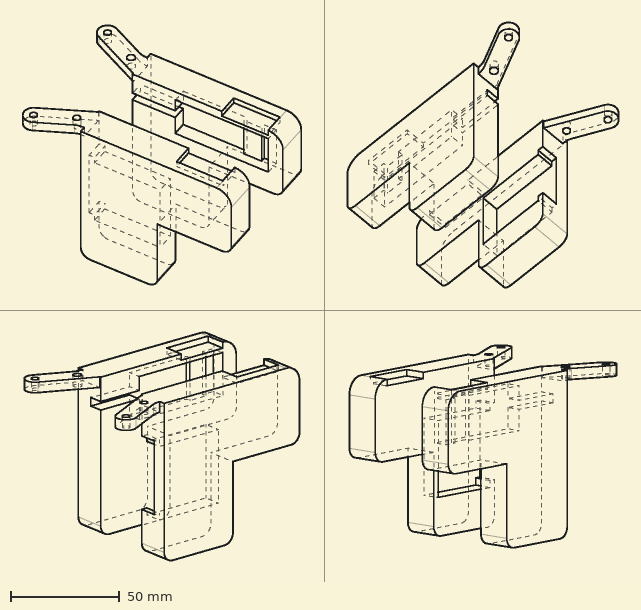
import cadquery as cq
import math

LENGTH = 110.3
HEIGHT = 78.0
TOTAL_WIDTH = 75.1
HALF_THICKNESS = 16.1
HALF_GAP = 14.7

BLOCK_LEFT = 29.2
STEM_WIDTH = 41.2
HEAD_HEIGHT = 38.2
TOP_CORNER_RADIUS = 8.0
CORNER_RADIUS = 5.2
INNER_Y = HALF_GAP
OUTER_Y = HALF_GAP + HALF_THICKNESS
STEM_RIGHT = BLOCK_LEFT + STEM_WIDTH
HEAD_BOTTOM = HEIGHT - HEAD_HEIGHT

ARM_THICKNESS = 5.2
ARM_RADIUS = 5.0
ARM_ANGLE = math.radians(25.9)
ARM_SETBACK = 3.1
ARM_ROOT_RADIUS = 9.9
ARM_HOLE_SPACING = 20.0
SMALL_HOLE = 3.5
LARGE_HOLE = 4.0
ARM_TIP_X = ARM_RADIUS
ARM_TIP_Y = TOTAL_WIDTH / 2 - ARM_RADIUS

END_WALL = 8.0
POCKET_LENGTH = 24.8
POCKET_WIDTH = 10.5
POCKET_DEPTH = 3.0
CAVITY_RIGHT = LENGTH - END_WALL

CAVITY_LENGTH = 50.0
CAVITY_DEPTH = 7.1
CAVITY_TOP_DROP = 5.1
CAVITY_BOTTOM_DROP = 26.0
PAD_LENGTH = 9.5
PAD_HEIGHT = 2.3
PAD_END_GAP = 6.4
GROOVE_TOP_DROP = 11.9
GROOVE_BOTTOM_DROP = 16.1
CAVITY_LEFT = CAVITY_RIGHT - CAVITY_LENGTH

STEM_WALL = 3.0
STEM_CAVITY_DEPTH = 8.9
STEM_CAVITY_HEIGHT = 36.0
OPENING_TOP_DROP = 20.4
STEM_CAVITY_STEP = 3.3


def inner_box(left, right, depth, top_drop, bottom_drop):
    """Box going outward from the inner face, with Z given as drops below the top."""
    return cq.Workplane("XY").box(
        right - left, depth, bottom_drop - top_drop, centered=False
    ).translate((left, INNER_Y, HEIGHT - bottom_drop))


def make_block():
    """L-shaped block with rounded outer corners."""
    stem = (
        cq.Workplane("XY")
        .box(STEM_WIDTH, HALF_THICKNESS, HEIGHT, centered=False)
        .translate((BLOCK_LEFT, INNER_Y, 0))
        .edges("|Y and <Z")
        .fillet(CORNER_RADIUS)
    )
    head = (
        cq.Workplane("XY")
        .box(LENGTH - BLOCK_LEFT, HALF_THICKNESS, HEAD_HEIGHT, centered=False)
        .translate((BLOCK_LEFT, INNER_Y, HEAD_BOTTOM))
        .edges("|Y and >X and >Z")
        .fillet(TOP_CORNER_RADIUS)
        .edges("|Y and >X and <Z")
        .fillet(CORNER_RADIUS)
    )
    return stem.union(head)


def make_arm(root_hole):
    """Sloping arm with a round tip, a blended root and two holes."""
    along_x = math.cos(ARM_ANGLE)
    along_y = -math.sin(ARM_ANGLE)
    normal_x = ARM_RADIUS * math.sin(ARM_ANGLE)
    normal_y = ARM_RADIUS * math.cos(ARM_ANGLE)
    slope = along_y / along_x

    upper_tangent = (ARM_TIP_X + normal_x, ARM_TIP_Y + normal_y)
    lower_tangent = (ARM_TIP_X - normal_x, ARM_TIP_Y - normal_y)
    tip = (ARM_TIP_X - ARM_RADIUS * along_x, ARM_TIP_Y - ARM_RADIUS * along_y)

    root_y = OUTER_Y - ARM_SETBACK
    bend_x = upper_tangent[0] + (root_y - upper_tangent[1]) / slope
    blend_length = ARM_ROOT_RADIUS * math.tan(ARM_ANGLE / 2)
    blend_start = (bend_x - blend_length * along_x, root_y - blend_length * along_y)
    blend_end = (bend_x + blend_length, root_y)
    blend_middle = (
        blend_end[0] - ARM_ROOT_RADIUS * math.sin(ARM_ANGLE / 2),
        root_y + ARM_ROOT_RADIUS * (1 - math.cos(ARM_ANGLE / 2)),
    )
    lower_root_y = lower_tangent[1] + (BLOCK_LEFT - lower_tangent[0]) * slope

    arm = (
        cq.Workplane("XY")
        .workplane(offset=HEIGHT - ARM_THICKNESS)
        .moveTo(*lower_tangent)
        .threePointArc(tip, upper_tangent)
        .lineTo(*blend_start)
        .threePointArc(blend_middle, blend_end)
        .lineTo(BLOCK_LEFT, root_y)
        .lineTo(BLOCK_LEFT, lower_root_y)
        .close()
        .extrude(ARM_THICKNESS)
    )
    root_hole_x = ARM_TIP_X + ARM_HOLE_SPACING * along_x
    root_hole_y = ARM_TIP_Y + ARM_HOLE_SPACING * along_y
    for x, y, diameter in (
        (ARM_TIP_X, ARM_TIP_Y, SMALL_HOLE),
        (root_hole_x, root_hole_y, root_hole),
    ):
        hole = cq.Workplane("XY").center(x, y).circle(diameter / 2).extrude(HEIGHT)
        arm = arm.cut(hole)
    return arm


def make_half(root_hole):
    """Block, arm and top pocket shared by both halves, on the +Y side."""
    pocket = inner_box(CAVITY_RIGHT - POCKET_LENGTH, CAVITY_RIGHT, POCKET_WIDTH, 0, POCKET_DEPTH)
    return make_block().union(make_arm(root_hole)).cut(pocket)


def make_socket_half():
    """Half on the +Y side, with the head cavity and its groove."""
    cavity = inner_box(CAVITY_LEFT, CAVITY_RIGHT, CAVITY_DEPTH, CAVITY_TOP_DROP, CAVITY_BOTTOM_DROP)
    pad_right = CAVITY_RIGHT - PAD_END_GAP
    pad = inner_box(
        pad_right - PAD_LENGTH, pad_right, PAD_HEIGHT, CAVITY_TOP_DROP, CAVITY_BOTTOM_DROP
    ).translate((0, CAVITY_DEPTH - PAD_HEIGHT, 0))
    groove = inner_box(BLOCK_LEFT, CAVITY_LEFT, CAVITY_DEPTH, GROOVE_TOP_DROP, GROOVE_BOTTOM_DROP)
    return make_half(LARGE_HOLE).cut(cavity.cut(pad)).cut(groove)


def make_stem_half():
    """Half on the -Y side, with the stem cavity and its end opening."""
    opening = inner_box(
        BLOCK_LEFT,
        BLOCK_LEFT + STEM_WALL,
        STEM_CAVITY_DEPTH,
        OPENING_TOP_DROP,
        OPENING_TOP_DROP + STEM_CAVITY_HEIGHT,
    )
    cavity_top_drop = OPENING_TOP_DROP + STEM_CAVITY_STEP
    cavity = inner_box(
        BLOCK_LEFT + STEM_WALL,
        STEM_RIGHT - STEM_WALL,
        STEM_CAVITY_DEPTH,
        cavity_top_drop,
        cavity_top_drop + STEM_CAVITY_HEIGHT,
    )
    return make_half(SMALL_HOLE).cut(opening).cut(cavity).mirror("XZ")


socket_half = make_socket_half()
stem_half = make_stem_half()

result = cq.Compound.makeCompound([socket_half.solids().val(), stem_half.solids().val()])